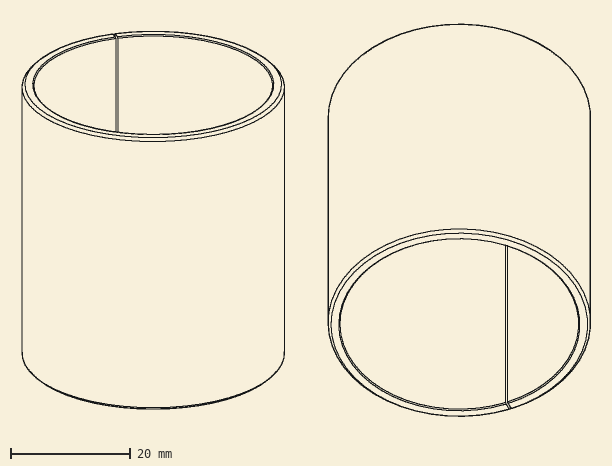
import cadquery as cq

length = 50.0
outer_diameter = 44.0
bore_diameter = 40.0
outer_chamfer = 0.5
bore_chamfer = 0.2
gap_angle = 1.0

outer_radius = outer_diameter / 2
bore_radius = bore_diameter / 2
half_length = length / 2


def wall_section():
    """Wall profile on the -X side, chamfered at both ends, outside and in the bore."""
    points = [
        (-bore_radius, -half_length + bore_chamfer),
        (-bore_radius - bore_chamfer, -half_length),
        (-outer_radius + outer_chamfer, -half_length),
        (-outer_radius, -half_length + outer_chamfer),
        (-outer_radius, half_length - outer_chamfer),
        (-outer_radius + outer_chamfer, half_length),
        (-bore_radius - bore_chamfer, half_length),
        (-bore_radius, half_length - bore_chamfer),
    ]
    return cq.Workplane("XZ").polyline(points).close()


result = wall_section().revolve(360 - gap_angle, (0, 0, 0), (0, 1, 0))